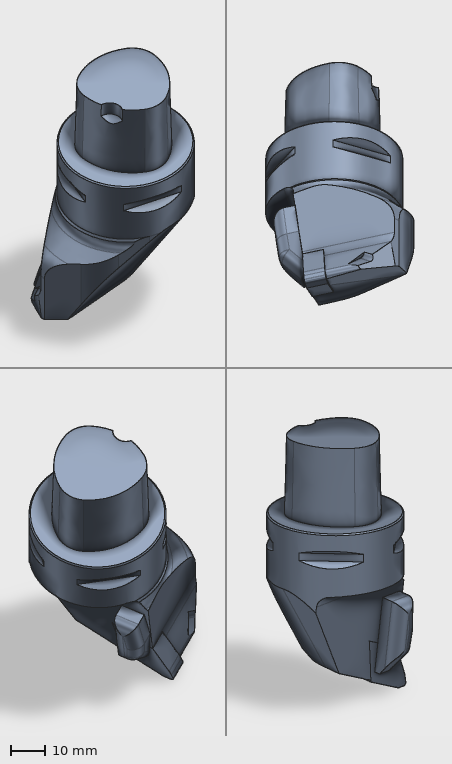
import cadquery as cq
import math


SHANK_LENGTH = 24.0
LOBE_OFFSET = 6.0
LOBE_RADIUS = 9.0
SHANK_TAPER = 1 / 40
LOBE_ANGLES = (90, 210, 330)

NOTCH_RADIUS = 3.8
NOTCH_Y = -14.45
NOTCH_DEPTH = 4.4
NOTCH_TIP = 2.85

COLLAR_DIAMETER = 40.0
COLLAR_RADIUS = COLLAR_DIAMETER / 2
COLLAR_HEIGHT = 20.25
COLLAR_CHAMFER = 0.4

GROOVE_COUNT = 4
GROOVE_START_ANGLE = 45
GROOVE_Z = -8.0
GROOVE_FLOOR = 17.6
GROOVE_FLOOR_WIDTH = 2.35
GROOVE_MOUTH_WIDTH = 5.5

STEP_RADIUS = 20.5
STEP_Z = -21.0
NECK_FILLET = 4.5
HEAD_RADIUS = 30.1
SHOULDER_FILLET = 11.1
HEAD_BOTTOM_Z = -67.2

FRONT_Y = -25.2
FRONT_ARC_START_X = -5.1
FRONT_ARC_ANGLE = 39.0

RAKE_Y = 11.6
RAKE_SLOPE = 0.13
UNDERCUT_Z = -20.4
UNDERCUT_SLOPE = 0.075
UNDERCUT_FILLET = 3.7

NOSE_X = -27.3
NOSE_Z = -60.0
LEAD_ANGLE = 63.7
LEAD_LENGTH = 11.6
LEAD_FACET_ANGLE = 74.0
LEAD_FACET_LENGTH = 3.7
LEAD_BLEND_RADIUS = 10.1
TRAIL_ANGLE = 22.9
TRAIL_LENGTH = 14.0
TRAIL_FACET_LENGTH = 3.45
INSERT_THICKNESS = 6.3
NOSE_RADIUS = 0.8

SEAT_INSET = 0.5
SEAT_NOSE_RADIUS = 2.0
FLANK_OFFSET = 6.2
FLANK_FILLET = 7.8

BACK_SIDE_FLAT = ((-5.1, FRONT_Y, -43.85), (1.7, -0.9, -1))
BACK_FLAT = ((COLLAR_RADIUS, 0, -19.3), (1.74, 0, -1))
BACK_ROUND = 21.0
FRONT_FOOT = (-17.05, FRONT_Y, -53.2)
TOE_FLAT = (FRONT_FOOT, (0.29, -0.15, -1))
HEEL_FLAT = (FRONT_FOOT, (-0.82, -0.57, -0.06))

BOSS_OUTLINE = [(6.5, 22.3), (7.7, 32.3), (15.1, 32.3), (15.1, 8.4), (7.6, 8.4)]
BOSS_HEIGHT = 7.4
BOSS_FILLET = 3.8
BOSS_SLANT = ((-18.5, 10.9, -44.9), (-1.2, 9.5, -9))
BOSS_SLANT_EDGE = (7.2, 13.4, -3.4)

POCKET_ORIGIN = (-22.1, -13.4, -52.0)
POCKET_NORMAL = (-0.9, -0.2, 0.6)
POCKET_DIRECTION = (-0.2, -0.84, -0.58)
POCKET_LENGTH = 6.7
POCKET_WIDTH = 8.4
POCKET_CENTRE = (3.7, -0.2)
POCKET_FILLET = 2.1

FAR = 100.8


def polar(radius, angle):
    """Point at a radius and an angle in degrees."""
    return (radius * math.cos(math.radians(angle)), radius * math.sin(math.radians(angle)))


def add(first, second):
    return (first[0] + second[0], first[1] + second[1])


def half_space(flat):
    """Large block on the outer side of a flat given by a point and its outward normal."""
    origin, normal = flat
    return cq.Workplane(cq.Plane(origin=origin, normal=normal)).rect(2 * FAR, 2 * FAR).extrude(FAR)


def edge_near(plane, point):
    """Selector of the edge nearest to a point given in the coordinates of a plane."""
    return cq.selectors.NearestToPointSelector(plane.toWorldCoords(point).toTuple())


SEAT = cq.Plane(
    origin=(NOSE_X, RAKE_Y + RAKE_SLOPE * (NOSE_X + NOSE_Z), NOSE_Z),
    xDir=(1, RAKE_SLOPE, 0),
    normal=(RAKE_SLOPE, -1, RAKE_SLOPE),
)
LEAD_START = polar(LEAD_FACET_LENGTH, LEAD_FACET_ANGLE)
TRAIL_START = (TRAIL_FACET_LENGTH, 0)


def lobed_outline(height):
    """Closed wire of six tangent arcs: three lobes and the three flatter sides between them."""
    lobe = LOBE_RADIUS - height * SHANK_TAPER
    side = lobe + LOBE_OFFSET * math.sqrt(3)
    centres = [polar(LOBE_OFFSET, angle) for angle in LOBE_ANGLES]
    start = add(centres[0], polar(lobe, LOBE_ANGLES[0] - 30))
    outline = cq.Workplane("XY", origin=(0, 0, height)).moveTo(*start)
    for index, angle in enumerate(LOBE_ANGLES):
        centre = centres[index]
        opposite = centres[index - 1]
        outline = outline.threePointArc(
            add(centre, polar(lobe, angle)), add(centre, polar(lobe, angle + 30))
        )
        outline = outline.threePointArc(
            add(opposite, polar(side, angle + 60)), add(opposite, polar(side, angle + 90))
        )
    return outline.close().wires().val()


def make_shank():
    ends = [lobed_outline(0), lobed_outline(SHANK_LENGTH)]
    shank = cq.Workplane(cq.Solid.makeLoft(ends, True))
    notch = (
        cq.Workplane("XZ", origin=(0, NOTCH_Y, SHANK_LENGTH))
        .lineTo(NOTCH_RADIUS, 0)
        .lineTo(NOTCH_RADIUS, -NOTCH_DEPTH)
        .lineTo(0, -NOTCH_DEPTH - NOTCH_TIP)
        .close()
        .revolve()
    )
    return shank.cut(notch)


def make_collar():
    collar = (
        cq.Workplane("XY")
        .circle(COLLAR_RADIUS)
        .extrude(-COLLAR_HEIGHT)
        .faces(">Z")
        .chamfer(COLLAR_CHAMFER)
    )
    floor = GROOVE_FLOOR_WIDTH / 2
    mouth = GROOVE_MOUTH_WIDTH / 2
    groove = (
        cq.Workplane("XZ", origin=(0, 0, GROOVE_Z))
        .moveTo(GROOVE_FLOOR, -floor)
        .lineTo(COLLAR_RADIUS, -mouth)
        .lineTo(COLLAR_RADIUS, mouth)
        .lineTo(GROOVE_FLOOR, floor)
        .close()
        .extrude(COLLAR_RADIUS, both=True)
    )
    for index in range(GROOVE_COUNT):
        angle = GROOVE_START_ANGLE + index * 360 / GROOVE_COUNT
        collar = collar.cut(groove.rotate((0, 0, 0), (0, 0, 1), angle))
    return collar


def round_envelope():
    """Turned shape: step, concave neck, 45 degree cone, convex shoulder and cylinder."""
    run = math.sqrt(0.5)
    rise = 1 - run
    neck_end = (STEP_RADIUS + NECK_FILLET * rise, STEP_Z - NECK_FILLET * run)
    neck_mid = add((STEP_RADIUS + NECK_FILLET, STEP_Z), polar(NECK_FILLET, 202.5))
    cone_end_radius = HEAD_RADIUS - SHOULDER_FILLET * rise
    cone_end = (cone_end_radius, neck_end[1] - (cone_end_radius - neck_end[0]))
    shoulder_centre = add(cone_end, polar(SHOULDER_FILLET, 225))
    shoulder_mid = add(shoulder_centre, polar(SHOULDER_FILLET, 22.5))
    return (
        cq.Workplane("XZ")
        .moveTo(0, -COLLAR_HEIGHT)
        .lineTo(COLLAR_RADIUS, -COLLAR_HEIGHT)
        .lineTo(STEP_RADIUS, STEP_Z)
        .threePointArc(neck_mid, neck_end)
        .lineTo(*cone_end)
        .threePointArc(shoulder_mid, (HEAD_RADIUS, shoulder_centre[1]))
        .lineTo(HEAD_RADIUS, HEAD_BOTTOM_Z)
        .lineTo(0, HEAD_BOTTOM_Z)
        .close()
        .revolve()
    )


def front_envelope():
    """Upright prism: front flat, tangent arc, slanting flat tangent to the collar, and collar round."""
    turn = math.radians(FRONT_ARC_ANGLE)
    reach = COLLAR_RADIUS - FRONT_ARC_START_X * math.sin(turn) + FRONT_Y * math.cos(turn)
    arc_radius = reach / (1 - math.cos(turn))
    centre = (FRONT_ARC_START_X, FRONT_Y + arc_radius)
    return (
        cq.Workplane("XY")
        .moveTo(-FAR, FRONT_Y)
        .lineTo(FRONT_ARC_START_X, FRONT_Y)
        .threePointArc(
            add(centre, polar(arc_radius, FRONT_ARC_ANGLE / 2 - 90)),
            add(centre, polar(arc_radius, FRONT_ARC_ANGLE - 90)),
        )
        .lineTo(*polar(COLLAR_RADIUS, FRONT_ARC_ANGLE - 90))
        .threePointArc((COLLAR_RADIUS, 0), (0, COLLAR_RADIUS))
        .lineTo(-FAR, COLLAR_RADIUS)
        .close()
        .extrude(HEAD_BOTTOM_Z)
    )


def seat_envelope():
    """Prism square to the rake plane: left flank, rounded point and lower edge."""
    lead_base = add(LEAD_START, polar(SEAT_INSET, LEAD_ANGLE - 90))
    trail_base = add(TRAIL_START, polar(SEAT_INSET, TRAIL_ANGLE + 90))
    lead_slope = math.tan(math.radians(LEAD_ANGLE))
    trail_slope = math.tan(math.radians(TRAIL_ANGLE))
    lead_height = lead_base[1] - lead_slope * lead_base[0]
    trail_height = trail_base[1] - trail_slope * trail_base[0]
    point_x = (trail_height - lead_height) / (lead_slope - trail_slope)
    point = (point_x, lead_height + lead_slope * point_x)
    flank_foot = (FLANK_OFFSET, lead_height + lead_slope * FLANK_OFFSET)
    trail_end = (FAR, trail_height + trail_slope * FAR)
    outline = [point, trail_end, (FAR, FAR), (FLANK_OFFSET, FAR), flank_foot]
    prism = cq.Workplane(SEAT).polyline(outline).close().extrude(FAR / 2, both=True)
    prism = prism.edges(edge_near(SEAT, flank_foot)).fillet(FLANK_FILLET)
    return prism.edges(edge_near(SEAT, point)).fillet(SEAT_NOSE_RADIUS)


def back_envelope():
    """Block bounded below by the two slanting back flats and the wide round between them."""
    block = cq.Workplane("XY").box(FAR, FAR, 2 * FAR)
    block = block.cut(half_space(BACK_SIDE_FLAT)).cut(half_space(BACK_FLAT))
    ridge = cq.Vector(*BACK_SIDE_FLAT[1]).cross(cq.Vector(*BACK_FLAT[1]))
    return block.edges(cq.selectors.ParallelDirSelector(ridge)).fillet(BACK_ROUND)


def rake_cut():
    """Everything behind the rake plane and below the sloping underside of the collar."""
    section = cq.Plane(origin=(0, 0, 0), xDir=(-RAKE_SLOPE, 1, 0), normal=(1, RAKE_SLOPE, 0))
    stretch = math.hypot(1, RAKE_SLOPE)
    corner_y = (RAKE_Y + RAKE_SLOPE * UNDERCUT_Z) / (1 - RAKE_SLOPE * UNDERCUT_SLOPE)
    corner = (corner_y / stretch, UNDERCUT_Z + UNDERCUT_SLOPE * corner_y)
    outline = [
        ((RAKE_Y - RAKE_SLOPE * FAR) / stretch, -FAR),
        corner,
        (FAR / stretch, UNDERCUT_Z + UNDERCUT_SLOPE * FAR),
        (FAR / stretch, -FAR),
    ]
    cutter = cq.Workplane(section).polyline(outline).close().extrude(FAR, both=True)
    return cutter.edges(edge_near(section, corner)).fillet(UNDERCUT_FILLET)


def clamp_boss():
    """Rounded boss standing on the rake plane, with a slanted lower end."""
    boss = cq.Workplane(SEAT).polyline(BOSS_OUTLINE).close().extrude(-BOSS_HEIGHT)
    boss = boss.cut(half_space(BOSS_SLANT))
    top_face = boss.faces(cq.selectors.DirectionMinMaxSelector(SEAT.zDir, False))
    slant_edge = boss.edges(edge_near(SEAT, BOSS_SLANT_EDGE))
    return top_face.edges().add(slant_edge).fillet(BOSS_FILLET)


def coolant_pocket():
    """Cutter for a tilted flat-floored pocket with one rounded inner edge."""
    floor = cq.Plane(origin=POCKET_ORIGIN, xDir=POCKET_DIRECTION, normal=POCKET_NORMAL)
    cutter = (
        cq.Workplane(floor)
        .center(*POCKET_CENTRE)
        .rect(POCKET_LENGTH, POCKET_WIDTH)
        .extrude(POCKET_WIDTH)
    )
    inner_edge = add(POCKET_CENTRE, (0, POCKET_WIDTH / 2))
    return cutter.edges(edge_near(floor, inner_edge)).fillet(POCKET_FILLET)


def make_holder(insert_body):
    """Collar, trimmed head, shank and clamp boss as one body, with a seat for the insert."""
    head = round_envelope().intersect(front_envelope()).intersect(seat_envelope())
    body = make_collar().union(head).intersect(back_envelope())
    body = body.cut(half_space(TOE_FLAT)).cut(half_space(HEEL_FLAT))
    body = body.cut(rake_cut()).cut(coolant_pocket())
    return body.union(make_shank()).union(clamp_boss()).cut(insert_body)


def make_insert():
    lead_end = add(LEAD_START, polar(LEAD_LENGTH, LEAD_ANGLE))
    trail_run = polar(TRAIL_LENGTH, TRAIL_ANGLE)
    trail_end = add(TRAIL_START, trail_run)
    outline = [(0, 0), TRAIL_START, trail_end, add(lead_end, trail_run), lead_end, LEAD_START]
    plate = cq.Workplane(SEAT).polyline(outline).close().extrude(INSERT_THICKNESS)
    middle = INSERT_THICKNESS / 2
    plate = plate.edges(edge_near(SEAT, (0, 0, middle))).fillet(NOSE_RADIUS)
    return plate.edges(edge_near(SEAT, (*LEAD_START, middle))).fillet(LEAD_BLEND_RADIUS)


insert = make_insert()
holder = make_holder(insert)

result = cq.Compound.makeCompound([holder.solids().val(), insert.solids().val()])